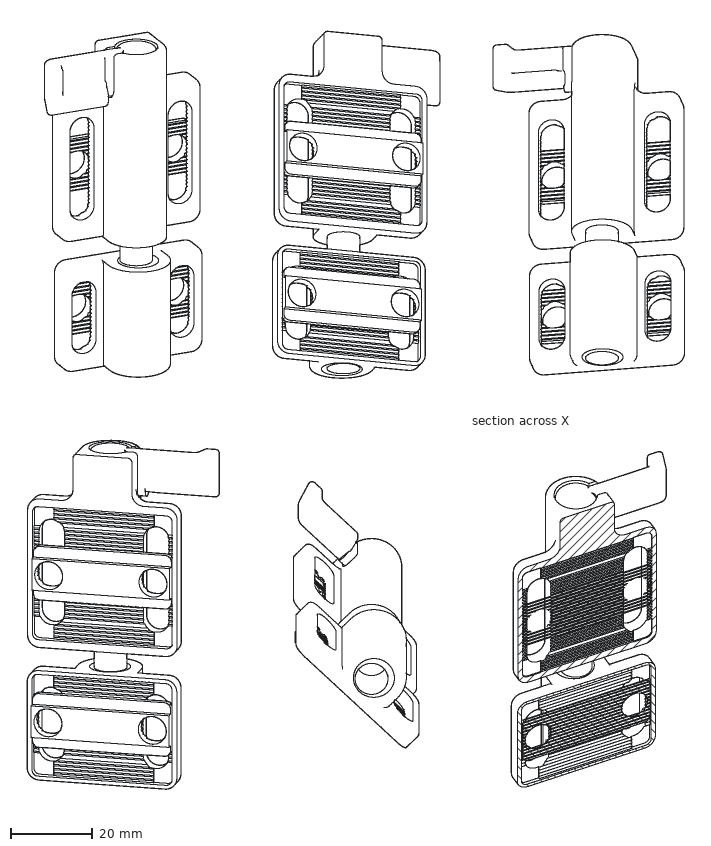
import cadquery as cq
import math


plate_width = 38.0
plate_thickness = 5.0
plate_corner_radius = 3.0
edge_radius = 1.0
plate_edge_radius = 0.9
upper_plate_height = 38.0
lower_plate_height = 28.0
housing_gap = 6.05
neck_height = 12.0
neck_fillet_radius = 3.0
upper_barrel_radius = 7.5
upper_back_offset = 8.0
lower_barrel_radius = 8.0
lower_back_offset = 8.0
lower_axis = (0.6, 0.25)

pocket_width = 35.5
upper_pocket_height = 34.0
lower_pocket_height = 26.0
pocket_corner_radius = 1.5
pocket_depth = 1.85
corner_pad_size = 5.05
tooth_pitch = 1.0
tooth_height = tooth_pitch / 2
slot_width = 6.5
slot_spacing = 26.5
upper_slot_length = 26.9
lower_slot_length = 18.8

slide_width = 35.0
slide_height = 13.7
slide_corner_radius = 1.5
rib_height = 8.1
rib_projection = 1.5
slide_hole_diameter = 7.1
lower_slide_phase = 0.3
lower_slide_shift = tooth_pitch + lower_slide_phase

rod_radius = 4.0
bush_radius = 5.05

hub_radius = 5.0
hub_bore_radius = 5.3
hub_depth = neck_height
arm_depth = 9.9
lever_edge_radius = 1.0
arm_left = -2.1
lever_thickness = 4.0
arm_right = arm_left + lever_thickness
paddle_right = 6.0
paddle_slope = 17.5
paddle_end = -24.1
paddle_start = -7.65
bend_radius = 3.0
inside_radius = 0.9
arm_overlap = 0.4
touch = 0.1
underside_margin = 0.2
lever_slot_center = -0.1
lever_slot_width = 4.8
lever_slot_depth = hub_depth

upper_plate_bottom = lower_plate_height + housing_gap
upper_plate_top = upper_plate_bottom + upper_plate_height
top = upper_plate_top + neck_height
upper_plate_middle = upper_plate_bottom + upper_plate_height / 2
lower_plate_middle = lower_plate_height / 2
hub_bottom = top - hub_depth
rod_bottom = lower_plate_middle


def facing_x(x, y=0, z=0):
    """Workplane with local axes Y and Z, extruding toward +X."""
    return cq.Workplane("YZ", origin=(x, y, z))


def tooth_bar(base_x, middle_z, rows, width):
    """Row of right-angled teeth along Y, rising toward -X from base_x, one tip at middle_z."""
    first_valley = middle_z - (rows + 0.5) * tooth_pitch
    points = [(base_x, first_valley)]
    for row in range(2 * rows + 1):
        valley = first_valley + row * tooth_pitch
        points.append((base_x - tooth_height, valley + tooth_pitch / 2))
        points.append((base_x, valley + tooth_pitch))
    profile = cq.Workplane("XZ", origin=(0, width / 2, 0)).polyline(points).close()
    return profile.extrude(width)


def plate(back_x, middle_z, height):
    """Plain plate with rounded corners."""
    body = facing_x(back_x, z=middle_z).rect(plate_width, height).extrude(plate_thickness)
    return body.edges("|X").fillet(plate_corner_radius)


def barrel(back_x, radius, bottom_z, height, rounded_end):
    """D-shaped column on the axis, rounded at one end except along its flat front."""
    body = (
        cq.Workplane("XY", origin=(0, 0, bottom_z))
        .moveTo(back_x, -radius)
        .lineTo(0, -radius)
        .threePointArc((radius, 0), (0, radius))
        .lineTo(back_x, radius)
        .close()
        .extrude(height)
    )
    return body.faces(rounded_end).edges("not(<X)").fillet(edge_radius)


def cut_mounting_face(body, back_x, middle_z, pocket_height, slot_length):
    """Sink the pocket, leave the teeth on its floor and cut the two adjusting slots."""
    pocket = facing_x(back_x, z=middle_z).rect(pocket_width, pocket_height).extrude(pocket_depth)
    pocket = pocket.edges("|X").fillet(pocket_corner_radius)
    inner_width = pocket_width - 2 * corner_pad_size
    inner_height = pocket_height - 2 * corner_pad_size
    toothed_area = (
        facing_x(back_x, z=middle_z)
        .rect(inner_width, pocket_height)
        .extrude(pocket_depth)
        .union(facing_x(back_x, z=middle_z).rect(pocket_width, inner_height).extrude(pocket_depth))
    )
    rows = math.ceil(pocket_height / 2 / tooth_pitch)
    teeth = tooth_bar(back_x + pocket_depth, middle_z, rows, pocket_width).intersect(toothed_area)
    slots = (
        facing_x(back_x, z=middle_z)
        .pushPoints([(-slot_spacing / 2, 0), (slot_spacing / 2, 0)])
        .slot2D(slot_length, slot_width, 90)
        .extrude(plate_thickness)
    )
    return body.cut(pocket.cut(teeth)).cut(slots)


def make_upper_housing():
    back_x = -upper_back_offset
    body = plate(back_x, upper_plate_middle, upper_plate_height)
    neck_middle = upper_plate_top + neck_height / 2 - edge_radius
    neck = facing_x(back_x, z=neck_middle).rect(2 * upper_barrel_radius, neck_height).extrude(plate_thickness)
    body = body.union(neck)
    neck_corners = cq.selectors.BoxSelector(
        (back_x - 0.8, -upper_barrel_radius - 0.8, upper_plate_top - 0.8),
        (back_x + plate_thickness + 0.8, upper_barrel_radius + 0.8, upper_plate_top + 0.8),
    )
    body = body.edges("|X").edges(neck_corners).fillet(neck_fillet_radius)
    body = body.faces(">X").edges().fillet(plate_edge_radius)
    barrel_height = top - upper_plate_bottom
    body = body.union(barrel(back_x, upper_barrel_radius, upper_plate_bottom, barrel_height, ">Z"))
    body = cut_mounting_face(body, back_x, upper_plate_middle, upper_pocket_height, upper_slot_length)

    hub_bore = cq.Workplane("XY", origin=(0, 0, hub_bottom)).circle(hub_bore_radius).extrude(hub_depth)
    rod_bore_length = hub_bottom - upper_plate_bottom
    rod_bore = cq.Workplane("XY", origin=(0, 0, upper_plate_bottom)).circle(rod_radius).extrude(rod_bore_length)
    half_width = lever_slot_width / 2
    lever_slot = (
        cq.Workplane("XZ", origin=(lever_slot_center, 0, top))
        .moveTo(-half_width, 0)
        .lineTo(-half_width, half_width - lever_slot_depth)
        .threePointArc((0, -lever_slot_depth), (half_width, half_width - lever_slot_depth))
        .lineTo(half_width, 0)
        .close()
        .extrude(upper_barrel_radius)
    )
    return body.cut(hub_bore).cut(rod_bore).cut(lever_slot)


def make_lower_housing():
    back_x = -lower_back_offset
    body = plate(back_x, lower_plate_middle, lower_plate_height)
    body = body.faces(">X").edges().fillet(plate_edge_radius)
    body = body.union(barrel(back_x, lower_barrel_radius, 0, lower_plate_height, "<Z"))
    body = cut_mounting_face(body, back_x, lower_plate_middle, lower_pocket_height, lower_slot_length)
    bush_bore = cq.Workplane("XY").circle(bush_radius).extrude(lower_plate_height)
    return body.cut(bush_bore).translate((*lower_axis, 0))


def make_slide(face_x, middle_y, middle_z):
    """Slide with its broad face at face_x, a rib in front and matching grooves behind."""
    body = facing_x(face_x, z=middle_z).rect(slide_width, slide_height).extrude(pocket_depth)
    body = body.edges("|X").fillet(slide_corner_radius)
    rib = facing_x(face_x, z=middle_z).rect(slide_width, rib_height).extrude(-rib_projection)
    rows = math.ceil(slide_height / 2 / tooth_pitch)
    grooves = tooth_bar(face_x + pocket_depth, middle_z, rows, slide_width)
    holes = (
        facing_x(face_x - rib_projection, z=middle_z)
        .pushPoints([(-slot_spacing / 2, 0), (slot_spacing / 2, 0)])
        .circle(slide_hole_diameter / 2)
        .extrude(rib_projection + pocket_depth)
    )
    return body.union(rib).cut(grooves).cut(holes).translate((0, middle_y, 0))


def make_rod():
    return cq.Workplane("XY", origin=(0, 0, rod_bottom)).circle(rod_radius).extrude(hub_bottom - rod_bottom)


def make_bush():
    """Sleeve on the axis of the lower housing, bored on the axis of the rod."""
    sleeve = cq.Workplane("XY", origin=(*lower_axis, 0)).circle(bush_radius).extrude(lower_plate_height)
    rod_bore = cq.Workplane("XY").circle(rod_radius).extrude(lower_plate_height)
    return sleeve.cut(rod_bore)


def edges_where(body, test):
    """Edges of a body whose middle point passes the test."""
    return body.newObject([edge for edge in body.edges().vals() if test(edge.Center())])


def make_paddle():
    """Sloped wall, end tab and lower flange around a pocket that is open at the top and at the right."""
    slope = math.tan(math.radians(paddle_slope))
    sloped_thickness = lever_thickness / math.cos(math.radians(paddle_slope))
    drop = slope * (paddle_right - arm_left)
    depth = arm_depth + drop
    far_end = paddle_end - drop

    def block(left, start_y, end_y, floor_z):
        """Block from left to the right end, its start, end and underside falling with the paddle slope."""
        block_drop = slope * (paddle_right - left)
        plan = (
            cq.Workplane("XY", origin=(0, 0, -depth))
            .polyline([
                (left, start_y),
                (left, end_y),
                (paddle_right, end_y - block_drop),
                (paddle_right, start_y - block_drop),
            ])
            .close()
            .extrude(depth)
        )
        side = (
            cq.Workplane("XZ")
            .polyline([(left, 0), (left, floor_z), (paddle_right, floor_z - block_drop), (paddle_right, 0)])
            .close()
            .extrude(-far_end)
        )
        return plan.intersect(side)

    body = block(arm_left, paddle_start, paddle_end, -arm_depth)
    inner_drop = slope * lever_thickness
    inner_end = paddle_end - inner_drop + sloped_thickness
    inner_floor = -arm_depth - inner_drop + sloped_thickness
    body = body.cut(block(arm_right, 0, inner_end, inner_floor))

    def below_line(x, level):
        """Sloped line that starts at the given level on the left face."""
        return level - slope * (x - arm_left)

    def inside_corner(point):
        inner_x = arm_right - touch < point.x < paddle_right - touch
        on_floor = abs(point.z - below_line(point.x, -arm_depth) - sloped_thickness) < touch
        on_tab = abs(point.y - below_line(point.x, paddle_end) - sloped_thickness) < touch
        on_wall = point.x < arm_right + touch
        return inner_x and on_floor + on_tab + on_wall == 2 and (point.z < -touch)

    def outer_edge(point):
        on_right = point.x > paddle_right - touch
        on_underside = abs(point.z - below_line(point.x, -arm_depth)) < underside_margin
        on_top = point.z > -touch and point.y < below_line(arm_right, paddle_start) - touch
        on_flange_start = point.x > arm_right + touch and abs(point.y - below_line(point.x, paddle_start)) < touch
        return on_right or on_underside or on_top or on_flange_start

    body = edges_where(body, inside_corner).fillet(inside_radius)
    body = body.edges("|Z and <X").edges("<Y").fillet(bend_radius)
    return edges_where(body, outer_edge).fillet(lever_edge_radius)


def make_lever():
    """Hub and round-bottomed arm, joined to the paddle; the top face is level with the housing."""
    half_width = lever_thickness / 2
    round_center = lever_slot_width / 2 - lever_slot_depth
    arm_length = -paddle_start + math.tan(math.radians(paddle_slope)) * lever_thickness + arm_overlap
    arm = (
        cq.Workplane("XZ", origin=(arm_left + half_width, 0, 0))
        .moveTo(-half_width, 0)
        .lineTo(-half_width, round_center)
        .threePointArc((0, round_center - half_width), (half_width, round_center))
        .lineTo(half_width, 0)
        .close()
        .extrude(arm_length)
    )
    hub = cq.Workplane("XY").circle(hub_radius).extrude(-hub_depth)
    stem = hub.union(arm)
    stem = stem.faces(">Z").edges("not(<Y)").fillet(lever_edge_radius)
    return stem.union(make_paddle()).translate((0, 0, top))


upper_housing = make_upper_housing()
lower_housing = make_lower_housing()
upper_slide = make_slide(-upper_back_offset, 0, upper_plate_middle)
lower_slide_face = lower_axis[0] - lower_back_offset - lower_slide_phase
lower_slide = make_slide(lower_slide_face, lower_axis[1], lower_plate_middle + lower_slide_shift)
rod = make_rod()
bush = make_bush()
lever = make_lever()

result = cq.Compound.makeCompound([
    upper_housing.val(),
    lower_housing.val(),
    upper_slide.val(),
    lower_slide.val(),
    rod.val(),
    bush.val(),
    lever.val(),
])